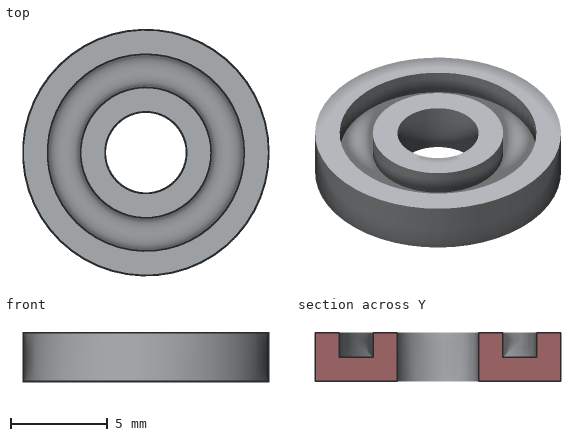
import cadquery as cq

outer_diameter = 12.7
thickness = 2.54

hub_diameter = 6.73
bore_diameter = 4.19

rim_inner_diameter = 10.16
groove_depth = 1.27


def make_disc():
    """Disc resting on Z = 0, with the bore running through it."""
    profile = cq.Workplane("XY").circle(outer_diameter / 2).circle(bore_diameter / 2)
    return profile.extrude(thickness)


def make_groove():
    """Ring of material removed from the top face."""
    floor = cq.Workplane("XY").workplane(offset=thickness - groove_depth)
    profile = floor.circle(rim_inner_diameter / 2).circle(hub_diameter / 2)
    return profile.extrude(groove_depth)


result = make_disc().cut(make_groove())